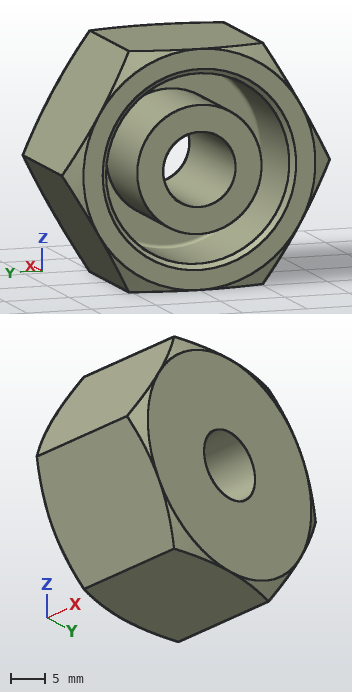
import cadquery as cq
import math

corner_diameter = 41.55
width = 21.0
flat_distance = corner_diameter * math.cos(math.radians(30))
corner_chamfer_angle = 30.0

groove_radius = 14.2
groove_depth = 14.15
mouth_radius = 15.0
mouth_chamfer = mouth_radius - groove_radius
floor_fillet = 0.55
sleeve_radius = 9.65

bore_radius = 5.6

front = -width / 2
back = width / 2


def revolve_about_x(points):
    """Revolve a closed (axial position, radius) outline about the X axis."""
    return cq.Workplane("XY").polyline(points).close().revolve(360, (0, 0, 0), (1, 0, 0))


def hexagon_body():
    """Hexagonal prism whose corners are trimmed by a cone at each end."""
    prism = (
        cq.Workplane("YZ")
        .polygon(6, corner_diameter)
        .extrude(width / 2, both=True)
    )
    flat_radius = flat_distance / 2
    corner_radius = corner_diameter / 2
    setback = (corner_radius - flat_radius) * math.tan(math.radians(corner_chamfer_angle))
    envelope = revolve_about_x([
        (front, 0),
        (front, flat_radius),
        (front + setback, corner_radius),
        (back - setback, corner_radius),
        (back, flat_radius),
        (back, 0),
    ])
    return prism.intersect(envelope)


def sleeve_groove():
    """Annular groove with a flared mouth and a rounded outer floor edge."""
    floor = front + groove_depth
    fillet_start = floor - floor_fillet
    floor_radius = groove_radius - floor_fillet
    diagonal = floor_fillet * math.cos(math.radians(45))
    return (
        cq.Workplane("XY")
        .moveTo(front, sleeve_radius)
        .lineTo(front, mouth_radius)
        .lineTo(front + mouth_chamfer, groove_radius)
        .lineTo(fillet_start, groove_radius)
        .threePointArc(
            (fillet_start + diagonal, floor_radius + diagonal),
            (floor, floor_radius),
        )
        .lineTo(floor, sleeve_radius)
        .close()
        .revolve(360, (0, 0, 0), (1, 0, 0))
    )


def bore():
    """Cylinder that opens the sleeve from end to end."""
    return cq.Workplane("YZ", origin=(front, 0, 0)).circle(bore_radius).extrude(width)


result = hexagon_body().cut(sleeve_groove()).cut(bore())